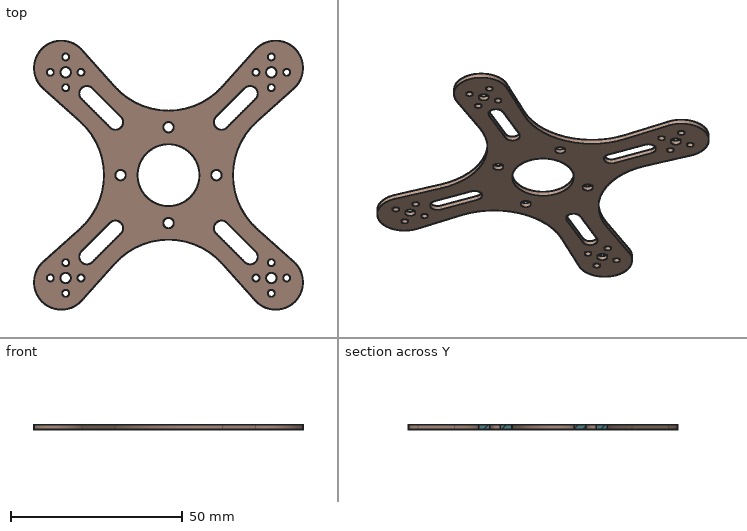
import cadquery as cq
import math

span = 78.6
thickness = 1.5
tip_radius = 8.0
tip_offset = span / 2 - tip_radius
waist_offset = 18.9
waist_radius = 21.1
waist_centre = waist_offset + waist_radius

bore_diameter = 18.0
plate_hole_diameter = 3.0
plate_hole_offset = 14.0
motor_offset = 30.0
shaft_hole_diameter = 3.0
screw_hole_diameter = 2.0
screw_offset = 4.5
slot_width = 4.4
slot_inner_offset = 15.5
slot_outer_offset = 23.8

QUARTER_TURNS = (0, 90, 180, 270)


def rotate_point(point, degrees):
    """Turn a point about the plate centre."""
    angle = math.radians(degrees)
    x, y = point
    return (
        x * math.cos(angle) - y * math.sin(angle),
        x * math.sin(angle) + y * math.cos(angle),
    )


def make_plate():
    """Four arms with round tips, joined by concave waists through tangent lines."""
    rise = waist_centre - tip_offset
    centre_distance = math.hypot(tip_offset, rise)
    edge_angle = math.asin((waist_radius + tip_radius) / centre_distance) - math.atan2(rise, tip_offset)
    normal_x = math.sin(edge_angle)
    normal_y = math.cos(edge_angle)

    waist_end_x = waist_radius * normal_x
    waist_end_y = waist_centre - waist_radius * normal_y
    tip_start = (tip_offset - tip_radius * normal_x, tip_offset + tip_radius * normal_y)
    tip_end = (tip_start[1], tip_start[0])
    tip_middle_offset = tip_offset + tip_radius / math.sqrt(2)

    outline = cq.Workplane("XY").moveTo(-waist_end_x, waist_end_y)
    for turn in QUARTER_TURNS:
        outline = outline.threePointArc(
            rotate_point((0, waist_offset), -turn),
            rotate_point((waist_end_x, waist_end_y), -turn),
        )
        outline = outline.lineTo(*rotate_point(tip_start, -turn))
        outline = outline.threePointArc(
            rotate_point((tip_middle_offset, tip_middle_offset), -turn),
            rotate_point(tip_end, -turn),
        )
        outline = outline.lineTo(*rotate_point((waist_end_y, waist_end_x), -turn))
    return outline.close().extrude(thickness)


def hole_cutter(points, diameter):
    """Through-hole cylinders at the given points."""
    return cq.Workplane("XY").pushPoints(points).circle(diameter / 2).extrude(thickness)


def cross_points(centre, offset):
    """Four points on the X and Y lines through a centre."""
    arms = [rotate_point((offset, 0), turn) for turn in QUARTER_TURNS]
    return [(centre[0] + x, centre[1] + y) for x, y in arms]


def slot_cutter():
    """One diagonal slot along each arm."""
    slot_middle = (slot_inner_offset + slot_outer_offset) / 2
    slot_length = (slot_outer_offset - slot_inner_offset) * math.sqrt(2) + slot_width
    slot = (
        cq.Workplane("XY")
        .center(slot_middle, slot_middle)
        .slot2D(slot_length, slot_width, 45)
        .extrude(thickness)
    )
    slots = cq.Workplane("XY")
    for turn in QUARTER_TURNS:
        slots = slots.add(slot.rotate((0, 0, 0), (0, 0, 1), turn))
    return slots.combine()


motor_centres = [rotate_point((motor_offset, motor_offset), turn) for turn in QUARTER_TURNS]
screw_points = [point for centre in motor_centres for point in cross_points(centre, screw_offset)]

result = (
    make_plate()
    .cut(hole_cutter([(0, 0)], bore_diameter))
    .cut(hole_cutter(cross_points((0, 0), plate_hole_offset), plate_hole_diameter))
    .cut(hole_cutter(motor_centres, shaft_hole_diameter))
    .cut(hole_cutter(screw_points, screw_hole_diameter))
    .cut(slot_cutter())
)